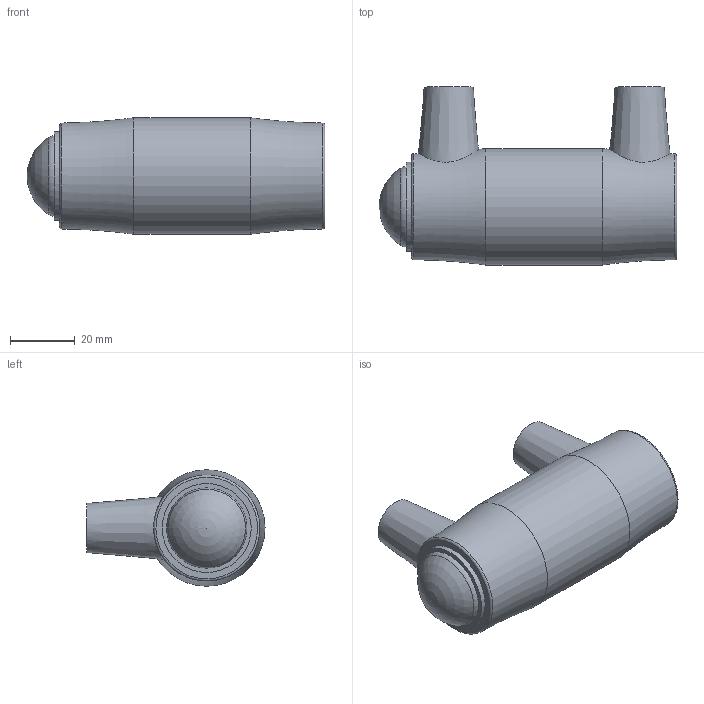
import cadquery as cq
import math

barrel_radius = 36 / 2
barrel_length = 82
straight_length = 36
end_radius = 32.8 / 2
end_fillet = 0.7

collar_radius = 27.5 / 2
collar_thickness = 1.65
dome_radius = 14
dome_fillet = 3.1
overall_length = 92

peg_tip_y = 37
peg_tip_radius = 15.2 / 2
peg_taper_angle = 5

barrel_end_x = barrel_length / 2
straight_end_x = straight_length / 2
taper_length = barrel_end_x - straight_end_x
mid_flank_x = (barrel_end_x + straight_end_x) / 2
collar_face_x = -barrel_end_x - collar_thickness
dome_tip_x = barrel_end_x - overall_length


def mid_flank_radius():
    """Barrel radius halfway along a tapered flank, a hollow arc that runs level with X at the barrel end."""
    rise = barrel_radius - end_radius
    flank_arc_radius = (taper_length**2 + rise**2) / (2 * rise)
    return end_radius + flank_arc_radius - math.sqrt(flank_arc_radius**2 - (taper_length / 2) ** 2)


def make_barrel():
    profile = (
        cq.Workplane("XY")
        .moveTo(-barrel_end_x, 0)
        .lineTo(-barrel_end_x, end_radius)
        .threePointArc((-mid_flank_x, mid_flank_radius()), (-straight_end_x, barrel_radius))
        .lineTo(straight_end_x, barrel_radius)
        .threePointArc((mid_flank_x, mid_flank_radius()), (barrel_end_x, end_radius))
        .lineTo(barrel_end_x, 0)
        .close()
    )
    barrel = profile.revolve(360, (0, 0, 0), (1, 0, 0))
    return barrel.faces("<X or >X").edges().fillet(end_fillet)


def make_collar():
    return cq.Workplane("YZ", origin=(collar_face_x, 0, 0)).circle(collar_radius).extrude(collar_thickness)


def make_dome():
    """Spherical cap blended by a rounded shoulder that meets the collar parallel to X."""
    sphere_x = dome_tip_x + dome_radius
    blend_reach = dome_radius - dome_fillet
    blend_angle = math.acos((sphere_x - collar_face_x) / blend_reach)
    shoulder_y = blend_reach * math.sin(blend_angle)
    shoulder_mid_angle = (blend_angle + math.pi / 2) / 2

    def on_circle(center_x, center_y, radius, angle):
        return (center_x - radius * math.cos(angle), center_y + radius * math.sin(angle))

    cap_mid = on_circle(sphere_x, 0, dome_radius, blend_angle / 2)
    cap_end = on_circle(sphere_x, 0, dome_radius, blend_angle)
    shoulder_mid = on_circle(collar_face_x, shoulder_y, dome_fillet, shoulder_mid_angle)
    shoulder_end = (collar_face_x, shoulder_y + dome_fillet)
    return (
        cq.Workplane("XY")
        .moveTo(dome_tip_x, 0)
        .threePointArc(cap_mid, cap_end)
        .threePointArc(shoulder_mid, shoulder_end)
        .lineTo(collar_face_x, 0)
        .close()
        .revolve(360, (0, 0, 0), (1, 0, 0))
    )


def make_peg(center_x):
    """Cone widening from its tip down to the barrel axis."""
    root_radius = peg_tip_radius + peg_tip_y * math.tan(math.radians(peg_taper_angle))
    root_center = cq.Vector(center_x, 0, 0)
    outward = cq.Vector(0, 1, 0)
    return cq.Workplane(cq.Solid.makeCone(root_radius, peg_tip_radius, peg_tip_y, root_center, outward))


result = make_barrel().union(make_collar()).union(make_dome())
for side in (-1, 1):
    result = result.union(make_peg(side * mid_flank_x))